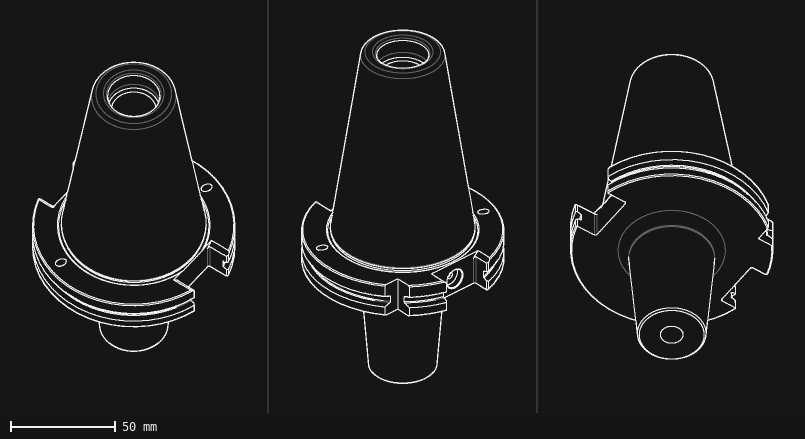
import cadquery as cq
import math


gauge_radius = 34.9
taper_length = 101.5
taper_slope = 7 / 48
gauge_land = 0.5
shank_top_radius = gauge_radius - taper_length * taper_slope
shank_rim_fillet = 2.2

flange_radius = 48.7
flange_top = -1.5
flange_bottom = -19.0
flange_rim_chamfer = 0.5
gripper_groove_z = -11.0
groove_floor_radius = 45.8
groove_floor_width = 3.5
groove_mouth_width = 6.0
groove_fillet = 0.5

relief_inner_radius = 34.5
relief_outer_radius = 36.7
relief_depth = 0.5
relief_bevel = 0.5

nose_root_radius = 20.7
nose_root_fillet = 5.0
nose_collar_height = 0.9
nose_end = -80.0
nose_end_radius = 16.5
nose_end_chamfer = 0.9

slot_half_width = 12.9
slot_floor_minus_x = 37.6
slot_floor_plus_x = 35.5
slot_corner_fillet = 0.9
slot_top_chamfer = 2.2
slot_mouth_chamfer = 0.7

notch_x = -30.0
notch_y = 30.0

pocket_radius = 4.9
pocket_depth = 3.6
pocket_rim_chamfer = 0.4
pocket_pin_radius = 0.9
pocket_pin_depth = 1.8
pocket_pin_chamfer = 0.7

coolant_radius = 2.0
coolant_circle_radius = 41.8
coolant_angle = 70
coolant_depth = 10.9

mouth_radius = 14.5
mouth_rounding = 1.6
mouth_cone_angle = 30
pilot_radius = 12.5
pilot_depth = 8.7
runout_radius = 12.3
runout_depth = 11.5
thread_radius = 10.7
thread_lead_angle = 30
thread_depth = 47.2
thread_floor_angle = 20
through_radius = 5.5

flange_height = flange_top - flange_bottom
cutter_clearance = 1.8
slot_reach = flange_radius + cutter_clearance


def tangent(degrees):
    return math.tan(math.radians(degrees))


def turned_body():
    """Shank, flange and nose as one revolved outline, read from the top down."""
    groove_half_floor = groove_floor_width / 2
    groove_half_mouth = groove_mouth_width / 2
    relief_floor = flange_top - relief_depth
    fillet_end = flange_bottom - nose_root_fillet
    fillet_mid = nose_root_fillet * (1 - math.sqrt(0.5))
    rim_radius = flange_radius - flange_rim_chamfer
    body = (
        cq.Workplane("XZ")
        .moveTo(0, taper_length)
        .lineTo(shank_top_radius, taper_length)
        .lineTo(gauge_radius, 0)
        .lineTo(gauge_radius, -gauge_land)
        .lineTo(relief_inner_radius, -gauge_land - (gauge_radius - relief_inner_radius))
        .lineTo(relief_inner_radius, relief_floor)
        .lineTo(relief_outer_radius - relief_bevel, relief_floor)
        .lineTo(relief_outer_radius, flange_top)
        .lineTo(rim_radius, flange_top)
        .lineTo(flange_radius, flange_top - flange_rim_chamfer)
        .lineTo(flange_radius, gripper_groove_z + groove_half_mouth)
        .lineTo(groove_floor_radius, gripper_groove_z + groove_half_floor)
        .lineTo(groove_floor_radius, gripper_groove_z - groove_half_floor)
        .lineTo(flange_radius, gripper_groove_z - groove_half_mouth)
        .lineTo(flange_radius, flange_bottom + flange_rim_chamfer)
        .lineTo(rim_radius, flange_bottom)
        .lineTo(nose_root_radius + nose_root_fillet, flange_bottom)
        .threePointArc(
            (nose_root_radius + fillet_mid, flange_bottom - fillet_mid),
            (nose_root_radius, fillet_end),
        )
        .lineTo(nose_root_radius, fillet_end - nose_collar_height)
        .lineTo(nose_end_radius, nose_end + nose_end_chamfer)
        .lineTo(nose_end_radius - nose_end_chamfer, nose_end)
        .lineTo(0, nose_end)
        .close()
        .revolve(360, (0, 0), (0, 1))
    )
    body = body.faces(">Z").edges().fillet(shank_rim_fillet)

    groove_floor_edges = cq.selectors.RadiusNthSelector(0)
    groove_zone = cq.selectors.BoxSelector(
        (-slot_reach, -slot_reach, gripper_groove_z - groove_floor_width),
        (slot_reach, slot_reach, gripper_groove_z + groove_floor_width),
    )
    return body.edges("%CIRCLE").edges(groove_zone).edges(groove_floor_edges).fillet(groove_fillet)


def pull_stud_bore():
    """Rounded conical mouth, pilot, thread and through hole as one turned cutter."""
    turn = math.radians(90 - mouth_cone_angle)

    def rounding_point(angle):
        radius = mouth_radius - mouth_rounding * math.sin(angle)
        return radius, taper_length - mouth_rounding * (1 - math.cos(angle))

    cone_radius, cone_z = rounding_point(turn)
    pilot_z = cone_z - (cone_radius - pilot_radius) / tangent(mouth_cone_angle)
    lead_depth = runout_depth + (runout_radius - thread_radius) * tangent(thread_lead_angle)
    floor_depth = thread_depth + (thread_radius - through_radius) * tangent(thread_floor_angle)
    return (
        cq.Workplane("XZ")
        .moveTo(0, taper_length)
        .lineTo(mouth_radius, taper_length)
        .threePointArc(rounding_point(turn / 2), (cone_radius, cone_z))
        .lineTo(pilot_radius, pilot_z)
        .lineTo(pilot_radius, taper_length - pilot_depth)
        .lineTo(runout_radius, taper_length - runout_depth)
        .lineTo(thread_radius, taper_length - lead_depth)
        .lineTo(thread_radius, taper_length - thread_depth)
        .lineTo(through_radius, taper_length - floor_depth)
        .lineTo(through_radius, nose_end)
        .lineTo(0, nose_end)
        .close()
        .revolve(360, (0, 0), (0, 1))
    )


def drive_slot(floor_x):
    """Cutter for the +X slot, widened at the flange top and at the flange rim."""
    length = slot_reach - floor_x
    channel = (
        cq.Workplane("XY", origin=(floor_x + length / 2, 0, flange_bottom))
        .rect(length, 2 * slot_half_width)
        .extrude(flange_height)
        .edges("|Z and <X")
        .fillet(slot_corner_fillet)
    )
    wide = slot_half_width + slot_top_chamfer
    top_bevel = (
        cq.Workplane("YZ", origin=(floor_x, 0, 0))
        .polyline([(-wide, flange_top), (wide, flange_top), (0, flange_top - wide)])
        .close()
        .extrude(length)
    )
    mouth_x = math.sqrt(flange_radius**2 - (slot_half_width + slot_mouth_chamfer) ** 2)
    mouth_wide = slot_half_width + slot_mouth_chamfer + slot_reach - mouth_x
    mouth_bevel = (
        cq.Workplane("XY", origin=(0, 0, flange_bottom))
        .polyline([(slot_reach, -mouth_wide), (slot_reach, mouth_wide), (slot_reach - mouth_wide, 0)])
        .close()
        .extrude(flange_height)
    )
    beyond_floor = (
        cq.Workplane("XY", origin=(floor_x + length / 2, 0, flange_bottom))
        .rect(length, 2 * flange_radius)
        .extrude(flange_height)
    )
    return channel.union(top_bevel).union(mouth_bevel.intersect(beyond_floor))


def corner_notch():
    """Cutter for the -X, +Y corner, through the full flange height."""
    return (
        cq.Workplane("XY", origin=(notch_x, notch_y, flange_bottom))
        .rect(-flange_radius, flange_radius, centered=False)
        .extrude(flange_height)
    )


def chamfered_hole(start_x, radius, depth, chamfer):
    """Cutter running in +X from start_x at groove height, wider at its mouth."""
    return (
        cq.Workplane("XZ")
        .polyline(
            [
                (start_x, 0),
                (start_x, radius + chamfer),
                (start_x + chamfer, radius),
                (start_x + depth, radius),
                (start_x + depth, 0),
            ]
        )
        .close()
        .revolve(360, (0, 0), (1, 0))
        .translate((0, 0, gripper_groove_z))
    )


def slot_pocket():
    pocket_floor_x = -slot_floor_minus_x + pocket_depth
    pocket = chamfered_hole(-slot_floor_minus_x, pocket_radius, pocket_depth, pocket_rim_chamfer)
    pin_hole = chamfered_hole(pocket_floor_x, pocket_pin_radius, pocket_pin_depth, pocket_pin_chamfer)
    return pocket.union(pin_hole)


def coolant_hole(angle):
    """Blind hole that starts above the flange so that its slanted mouth is fully open."""
    run_in = 2 * coolant_radius
    start = cq.Vector(coolant_circle_radius + run_in, 0, flange_top + run_in)
    direction = cq.Vector(-1, 0, -1)
    length = coolant_depth + run_in * math.sqrt(2)
    hole = cq.Solid.makeCylinder(coolant_radius, length, start, direction)
    return cq.Workplane(hole).rotate((0, 0, 0), (0, 0, 1), angle)


result = turned_body().cut(pull_stud_bore())
result = result.cut(drive_slot(slot_floor_plus_x))
result = result.cut(drive_slot(slot_floor_minus_x).rotate((0, 0, 0), (0, 0, 1), 180))
result = result.cut(corner_notch())
result = result.cut(slot_pocket())
for angle in (coolant_angle, coolant_angle + 180):
    result = result.cut(coolant_hole(angle))